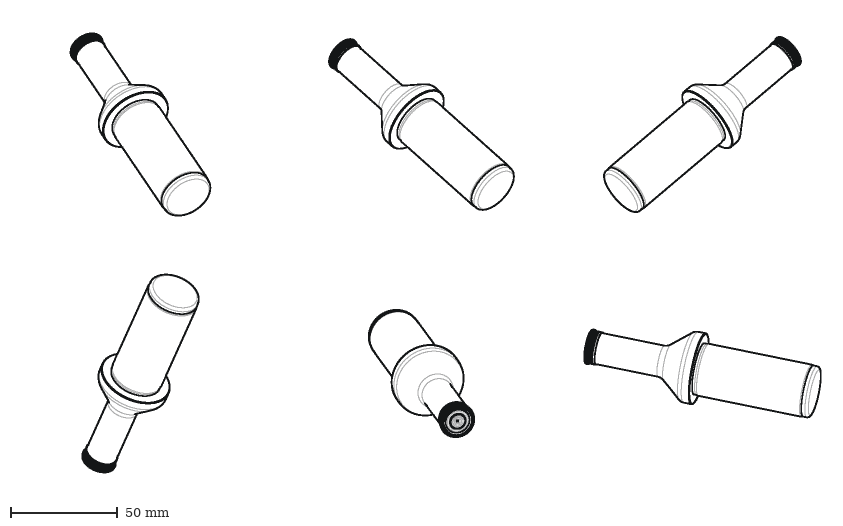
import cadquery as cq
import math

TOTAL_LENGTH = 110.0

HEAD_LENGTH = 5.2
HEAD_RADIUS = 7.8
COLLAR_RADIUS = 8.2
COLLAR_END = 1.8
COLLAR_END_BEVEL = 0.2
EDGE_LENGTH = 0.8
EDGE_WIDTH = 0.8
EDGE_BREAK_LENGTH = 0.3
EDGE_BREAK_WIDTH = 0.2
RIM_GROOVE_COUNT = 2
RIM_GROOVE_START = 2.1
RIM_GROOVE_WIDTH = 0.7
RIM_GROOVE_DEPTH = 0.1

DISH_FLOOR_RADIUS = 0.4
DISH_RADIUS = 3.1
DISH_DEPTH = 0.7
DISH_STEPS = 4
DISH_POWER = 1.4
LIP_RADIUS = 3.5
LIP_FOOT_RADIUS = 3.8
LIP_FOOT_DEPTH = 0.2
SLOPE_RADIUS = 4.4
SLOPE_DEPTH = 0.3
TROUGH_INNER_RADIUS = 5.2
TROUGH_OUTER_RADIUS = 5.8
TROUGH_DEPTH = 0.4
FACE_RIM_RADIUS = 6.8

NECK_RADIUS = 15.0 / 2
NECK_END = 35.3
CONE_ANGLE = math.radians(39.2)
NECK_FILLET = 4.8
FLANGE_RADIUS = 34.0 / 2
RIM_FILLET = 3.2
FLANGE_END = 53.9
FLANGE_CHAMFER = 0.3

SHANK_RADIUS = 25.0 / 2
RELIEF_RADIUS = 24.5 / 2
UNDERCUT_END = 55.0
UNDERCUT_TAPER = 1.0
BEVEL_START = 106.2
BEVEL_END = 106.8
BEVEL_DROP = 0.1
STEP_END = 107.0
END_FILLET = 1.3


def face_relief():
    """Points (depth, radius) of the head's face, from the axis outwards; the dish steepens inwards."""
    points = [(DISH_DEPTH, 0)]
    for step in range(DISH_STEPS + 1):
        share = step / DISH_STEPS
        radius = DISH_FLOOR_RADIUS + share * (DISH_RADIUS - DISH_FLOOR_RADIUS)
        points.append((DISH_DEPTH * (1 - share) ** DISH_POWER, radius))
    return points + [
        (0, LIP_RADIUS),
        (LIP_FOOT_DEPTH, LIP_FOOT_RADIUS),
        (SLOPE_DEPTH, SLOPE_RADIUS),
        (TROUGH_DEPTH, TROUGH_INNER_RADIUS),
        (TROUGH_DEPTH, TROUGH_OUTER_RADIUS),
        (0, FACE_RIM_RADIUS),
    ]


def rim_groove(start_x):
    """Ring of material that leaves one shallow groove around the head."""
    ring = (
        cq.Workplane("YZ", origin=(start_x, 0, 0))
        .circle(COLLAR_RADIUS)
        .circle(HEAD_RADIUS - RIM_GROOVE_DEPTH)
    )
    return ring.extrude(RIM_GROOVE_WIDTH)


def make_head():
    """Disc with a relieved face, a bevelled front collar and grooves around its rim."""
    body = (
        cq.Workplane("XY")
        .polyline(face_relief())
        .lineTo(0, COLLAR_RADIUS - EDGE_WIDTH)
        .lineTo(EDGE_BREAK_LENGTH, COLLAR_RADIUS - EDGE_BREAK_WIDTH)
        .lineTo(EDGE_LENGTH, COLLAR_RADIUS)
        .lineTo(COLLAR_END - COLLAR_END_BEVEL, COLLAR_RADIUS)
        .lineTo(COLLAR_END, COLLAR_RADIUS - COLLAR_END_BEVEL)
        .lineTo(COLLAR_END, HEAD_RADIUS)
        .lineTo(HEAD_LENGTH, HEAD_RADIUS)
        .lineTo(HEAD_LENGTH, 0)
        .close()
        .revolve(360, (0, 0, 0), (1, 0, 0))
    )
    for index in range(RIM_GROOVE_COUNT):
        body = body.cut(rim_groove(RIM_GROOVE_START + 2 * index * RIM_GROOVE_WIDTH))
    return body


def arc_point(center, radius, angle):
    """Point on an arc, with the angle measured from the radial direction towards +X."""
    return (center[0] + radius * math.sin(angle), center[1] + radius * math.cos(angle))


def make_holder():
    """Neck, cone, flange and shank in one turned piece."""
    neck_center = (NECK_END, NECK_RADIUS + NECK_FILLET)
    cone_start = arc_point(neck_center, -NECK_FILLET, -CONE_ANGLE)
    neck_middle = arc_point(neck_center, -NECK_FILLET, -CONE_ANGLE / 2)

    rim_center_radius = FLANGE_RADIUS - RIM_FILLET
    cone_end_radius = rim_center_radius + RIM_FILLET * math.cos(CONE_ANGLE)
    cone_end_x = cone_start[0] + (cone_end_radius - cone_start[1]) / math.tan(CONE_ANGLE)
    rim_center = (cone_end_x + RIM_FILLET * math.sin(CONE_ANGLE), rim_center_radius)
    rim_middle = arc_point(rim_center, RIM_FILLET, -CONE_ANGLE / 2)

    end_center = (TOTAL_LENGTH - END_FILLET, RELIEF_RADIUS - END_FILLET)
    end_middle = arc_point(end_center, END_FILLET, math.pi / 4)

    return (
        cq.Workplane("XY")
        .moveTo(HEAD_LENGTH, 0)
        .lineTo(HEAD_LENGTH, NECK_RADIUS)
        .lineTo(NECK_END, NECK_RADIUS)
        .threePointArc(neck_middle, cone_start)
        .lineTo(cone_end_x, cone_end_radius)
        .threePointArc(rim_middle, (rim_center[0], FLANGE_RADIUS))
        .lineTo(FLANGE_END - FLANGE_CHAMFER, FLANGE_RADIUS)
        .lineTo(FLANGE_END, FLANGE_RADIUS - FLANGE_CHAMFER)
        .lineTo(FLANGE_END, RELIEF_RADIUS)
        .lineTo(UNDERCUT_END, RELIEF_RADIUS)
        .lineTo(UNDERCUT_END + UNDERCUT_TAPER, SHANK_RADIUS)
        .lineTo(BEVEL_START, SHANK_RADIUS)
        .lineTo(BEVEL_END, SHANK_RADIUS - BEVEL_DROP)
        .lineTo(STEP_END, RELIEF_RADIUS)
        .lineTo(end_center[0], RELIEF_RADIUS)
        .threePointArc(end_middle, (TOTAL_LENGTH, end_center[1]))
        .lineTo(TOTAL_LENGTH, 0)
        .close()
        .revolve(360, (0, 0, 0), (1, 0, 0))
    )


head = make_head()
holder = make_holder()

result = cq.Compound.makeCompound([head.val(), holder.val()])